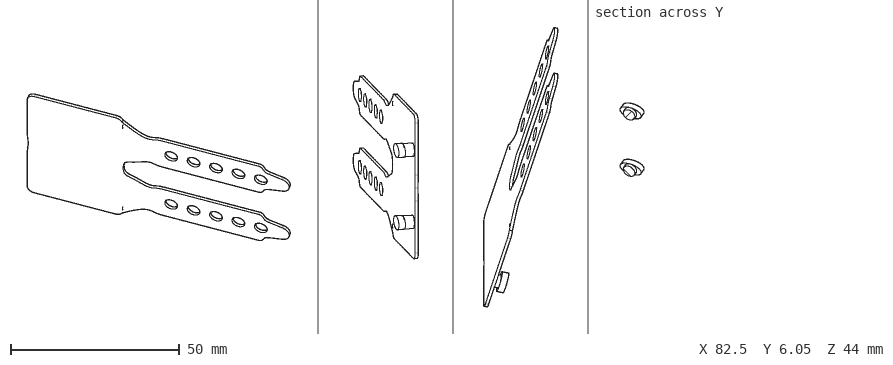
import cadquery as cq

PLATE_LENGTH = 82.0
PLATE_HEIGHT = 44.0
PLATE_THICKNESS = 1.0
HALF_HEIGHT = PLATE_HEIGHT / 2
CORNER_RADIUS = 2.2

NOTCH_DEPTH = 0.3
NOTCH_HALF_HEIGHT = 4.0

ARM_CENTER_Z = HALF_HEIGHT / 2
ARM_HALF_WIDTH = 5.9
ARM_START_X = 42.1
ARM_END_X = 72.35
ARM_TOP_Z = ARM_CENTER_Z + ARM_HALF_WIDTH
ARM_BOTTOM_Z = ARM_CENTER_Z - ARM_HALF_WIDTH

BODY_END_X = 27.7
NECK_START_X = 29.7
NECK_START_Z = 20.7
NECK_LOW_X = 38.8
NECK_LOW_Z = 16.25
NECK_START_SLOPE = -0.7
CROTCH_X = 30.0
CROTCH_SIDE_X = 32.75
CROTCH_SIDE_Z = 3.6
CROTCH_WIDE_X = 38.8
CROTCH_WIDE_Z = 5.7

SLIT_X = 29.9
SLIT_CENTER_Z = 18.65
SLIT_LENGTH = 1.15
SLIT_WIDTH = 0.1

SHOULDER_X = 74.4
SHOULDER_HALF_WIDTH = 4.05
TONGUE_START_X = 75.8
TONGUE_START_HALF_WIDTH = 3.5
TONGUE_SLOPE = -0.25
TONGUE_END_X = 79.8
TONGUE_END_HALF_WIDTH = 2.6

HOLE_DIAMETER = 4.0
HOLE_COUNT = 5
HOLE_PITCH = 7.0
FIRST_HOLE_X = 45.05

STEM_DIAMETER = 4.0
STEM_LENGTH = 3.05
HEAD_LENGTH = 7.0
HEAD_WIDTH = STEM_DIAMETER
HEAD_THICKNESS = 2.0
HEAD_OVERHANG = 0.5
PIN_X = HEAD_LENGTH / 2 - HEAD_OVERHANG

ROW_HEIGHTS = (-ARM_CENTER_Z, ARM_CENTER_Z)


def plane_facing_back(y):
    """Workplane at depth y whose local axes are X and Z; extrude negative to go toward +Y."""
    return cq.Workplane("XZ", origin=(0, y, 0))


def make_half_plate():
    """Upper half of the plate, bounded below by Z = 0."""
    outline = (
        plane_facing_back(0)
        .moveTo(NOTCH_DEPTH, 0)
        .lineTo(0, NOTCH_HALF_HEIGHT)
        .lineTo(0, HALF_HEIGHT - CORNER_RADIUS)
        .radiusArc((CORNER_RADIUS, HALF_HEIGHT), CORNER_RADIUS)
        .lineTo(BODY_END_X, HALF_HEIGHT)
        .radiusArc((NECK_START_X, NECK_START_Z), CORNER_RADIUS)
        .spline(
            [(NECK_LOW_X, NECK_LOW_Z), (ARM_START_X, ARM_TOP_Z)],
            tangents=[(1, NECK_START_SLOPE), (1, 0)],
            includeCurrent=True,
        )
        .lineTo(ARM_END_X, ARM_TOP_Z)
    )
    outline = add_arm_tip(outline)
    outline = (
        outline
        .lineTo(ARM_START_X, ARM_BOTTOM_Z)
        .spline(
            [(CROTCH_WIDE_X, CROTCH_WIDE_Z), (CROTCH_SIDE_X, CROTCH_SIDE_Z), (CROTCH_X, 0)],
            tangents=[(-1, 0), (0, -1)],
            includeCurrent=True,
        )
        .close()
    )
    return outline.extrude(-PLATE_THICKNESS)


def add_arm_tip(outline):
    """Continue the outline around the arm tip, from the arm's upper edge to its lower edge."""
    def above(x, half_width):
        return (x, ARM_CENTER_Z + half_width)

    def below(x, half_width):
        return (x, ARM_CENTER_Z - half_width)

    shoulder = (SHOULDER_X, SHOULDER_HALF_WIDTH)
    tongue_start = (TONGUE_START_X, TONGUE_START_HALF_WIDTH)
    tongue_end = (TONGUE_END_X, TONGUE_END_HALF_WIDTH)
    return (
        outline
        .spline([above(*shoulder), above(*tongue_start)],
                tangents=[(1, 0), (1, TONGUE_SLOPE)], includeCurrent=True)
        .lineTo(*above(*tongue_end))
        .threePointArc((PLATE_LENGTH, ARM_CENTER_Z), below(*tongue_end))
        .lineTo(*below(*tongue_start))
        .spline([below(*shoulder), (ARM_END_X, ARM_BOTTOM_Z)],
                tangents=[(-1, TONGUE_SLOPE), (-1, 0)], includeCurrent=True)
    )


def make_plate():
    upper_half = make_half_plate()
    lower_half = upper_half.mirror("XY")
    hole_centers = [
        (FIRST_HOLE_X + i * HOLE_PITCH, z)
        for z in ROW_HEIGHTS
        for i in range(HOLE_COUNT)
    ]
    holes = (
        plane_facing_back(0)
        .pushPoints(hole_centers)
        .circle(HOLE_DIAMETER / 2)
        .extrude(-PLATE_THICKNESS)
    )
    slits = (
        plane_facing_back(0)
        .pushPoints([(SLIT_X, -SLIT_CENTER_Z), (SLIT_X, SLIT_CENTER_Z)])
        .rect(SLIT_WIDTH, SLIT_LENGTH)
        .extrude(-PLATE_THICKNESS)
    )
    return upper_half.union(lower_half).clean().cut(holes).cut(slits)


def make_pin(z):
    """Round stem on the plate's back face, ending in an elliptical head."""
    stem = (
        plane_facing_back(PLATE_THICKNESS)
        .center(PIN_X, z)
        .circle(STEM_DIAMETER / 2)
        .extrude(-STEM_LENGTH)
    )
    head = (
        plane_facing_back(PLATE_THICKNESS + STEM_LENGTH)
        .center(PIN_X, z)
        .ellipse(HEAD_LENGTH / 2, HEAD_WIDTH / 2)
        .extrude(-HEAD_THICKNESS)
    )
    return stem.union(head)


plate = make_plate()
pins = [make_pin(z) for z in ROW_HEIGHTS]

result = cq.Compound.makeCompound([plate.val(), *[pin.val() for pin in pins]])